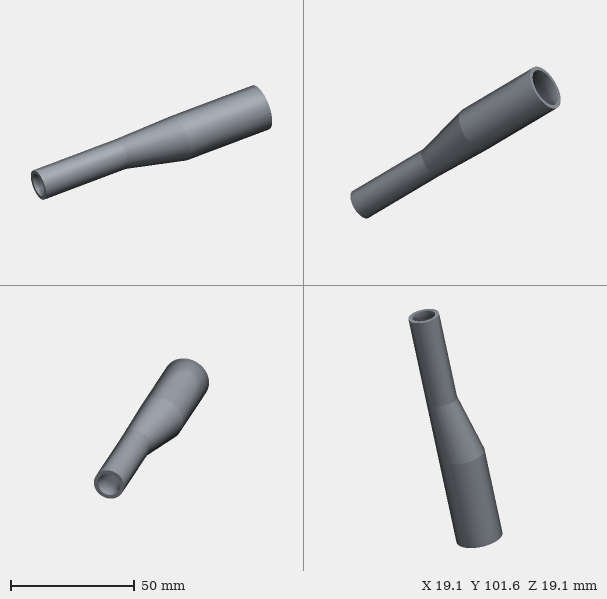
import cadquery as cq

total_length = 101.6
end_length = 38.1
large_diameter = 19.1
small_diameter = 12.7
wall = 1.6

taper_length = total_length - 2 * end_length
small_center_x = -(large_diameter - small_diameter) / 2


def stepped_body(large_radius, small_radius):
    """Two offset cylinders joined by an eccentric cone, large end at +Y."""
    large_end = (
        cq.Workplane("XZ", origin=(0, total_length / 2, 0))
        .circle(large_radius)
        .extrude(end_length)
    )
    taper = (
        cq.Workplane("XZ", origin=(0, taper_length / 2, 0))
        .circle(large_radius)
        .workplane(offset=taper_length)
        .center(small_center_x, 0)
        .circle(small_radius)
        .loft(ruled=True)
    )
    small_end = (
        cq.Workplane("XZ", origin=(small_center_x, -taper_length / 2, 0))
        .circle(small_radius)
        .extrude(end_length)
    )
    return large_end.union(taper).union(small_end)


outside = stepped_body(large_diameter / 2, small_diameter / 2)
bore = stepped_body(large_diameter / 2 - wall, small_diameter / 2 - wall)

result = outside.cut(bore)